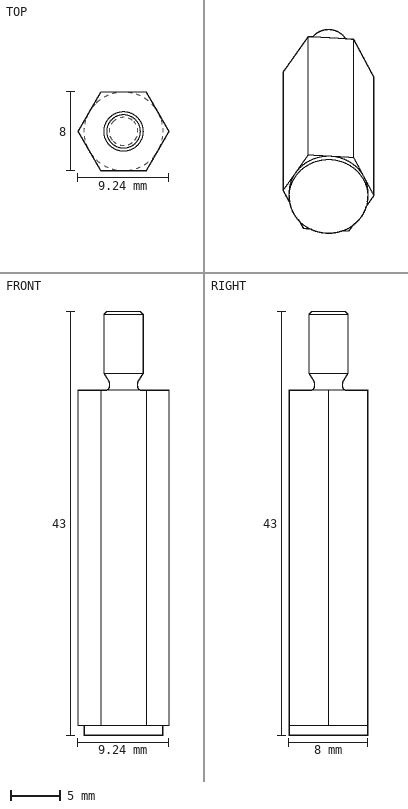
import cadquery as cq
import math

total_height = 43.0
collar_height = 1.0
hex_top = 35.0

across_flats = 8.0
across_corners = across_flats / math.cos(math.pi / 6)
collar_diameter = across_flats
stud_radius = 4.0 / 2
neck_radius = 2.9 / 2

neck_height = 0.8
neck_fillet = 0.4
neck_taper_height = 0.9
tip_chamfer = 0.3


def make_body():
    """Hexagonal bar standing on a short round collar."""
    collar = cq.Workplane("XY").circle(collar_diameter / 2).extrude(collar_height)
    bar = (
        cq.Workplane("XY")
        .workplane(offset=collar_height)
        .polygon(6, across_corners)
        .extrude(hex_top - collar_height)
    )
    return collar.union(bar)


def make_stud():
    """Revolved stud with an undercut neck and chamfered tip."""
    neck_top = hex_top + neck_height
    profile = (
        cq.Workplane("XZ")
        .moveTo(0, hex_top)
        .lineTo(neck_radius, hex_top)
        .lineTo(neck_radius, neck_top)
        .lineTo(stud_radius, neck_top + neck_taper_height)
        .lineTo(stud_radius, total_height - tip_chamfer)
        .lineTo(stud_radius - tip_chamfer, total_height)
        .lineTo(0, total_height)
        .close()
    )
    return profile.revolve(360, (0, 0, 0), (0, 1, 0))


def round_neck(part):
    """Blend the neck into the hexagon's top face and into the taper above it."""
    neck_ends = cq.selectors.BoxSelector(
        (-neck_radius, -neck_radius, hex_top - neck_fillet),
        (neck_radius, neck_radius, hex_top + neck_height + neck_fillet),
    )
    return part.edges("%CIRCLE").edges(neck_ends).fillet(neck_fillet)


result = round_neck(make_body().union(make_stud()))